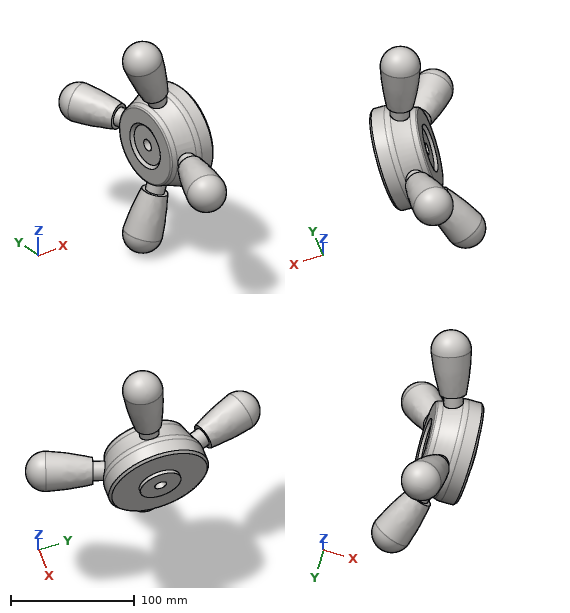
import cadquery as cq
import math


rim_diameter = 86.0
rim_chamfer = 2.0
rim_length = 13.0
shoulder_radius = 11.0
shoulder_angle = 26.0
nose_start = 32.8
waist_end_radius = 35.9
hub_length = 38.0
nose_round = 1.5
bore_diameter = 10.0
spigot_diameter = 35.0
spigot_length = 3.0

recess_floor_diameter = 35.0
recess_mouth_diameter = 40.0
recess_depth = 2.5

handle_count = 4
handle_tilt = 19.0
knob_radius = 16.5
knob_tip_reach = 100.0
knob_center_x = -40.4
grip_length = 38.2
grip_end_radius = 11.0
grip_bulge = 0.8
neck_diameter = 16.0


def make_hub():
    rim_radius = rim_diameter / 2
    shoulder_slope = math.radians(shoulder_angle)

    def shoulder_point(angle):
        x = -rim_length - shoulder_radius * math.sin(angle)
        return (x, rim_radius - shoulder_radius * (1 - math.cos(angle)))

    shoulder_end = shoulder_point(shoulder_slope)
    waist_drop = shoulder_end[1] - waist_end_radius
    waist_chord_slope = math.atan2(waist_drop, nose_start + shoulder_end[0])
    nose_slope = 2 * waist_chord_slope - shoulder_slope
    nose_radius = waist_end_radius - (hub_length - nose_start) * math.tan(nose_slope)

    hub = (
        cq.Workplane("XY")
        .lineTo(0, rim_radius - rim_chamfer)
        .lineTo(-rim_chamfer, rim_radius)
        .lineTo(-rim_length, rim_radius)
        .threePointArc(shoulder_point(shoulder_slope / 2), shoulder_end)
        .tangentArcPoint((-nose_start, waist_end_radius), relative=False)
        .lineTo(-hub_length, nose_radius)
        .lineTo(-hub_length, 0)
        .close()
        .revolve(360, (0, 0, 0), (1, 0, 0))
        .faces("<X").edges().fillet(nose_round)
    )
    spigot = cq.Workplane("YZ").circle(spigot_diameter / 2).extrude(spigot_length)
    return hub.union(spigot)


def make_handle():
    tilt = math.radians(handle_tilt)
    knob_center_radius = knob_tip_reach - knob_radius
    knob_height = knob_center_radius / math.cos(tilt)
    pivot_x = knob_center_x + knob_center_radius * math.tan(tilt)
    grip_end = knob_height - grip_length
    knob_diagonal = knob_radius * math.sqrt(0.5)
    grip_middle = ((knob_radius + grip_end_radius) / 2 + grip_bulge, knob_height - grip_length / 2)

    grip = (
        cq.Workplane("XZ")
        .moveTo(0, grip_end)
        .lineTo(grip_end_radius, grip_end)
        .threePointArc(grip_middle, (knob_radius, knob_height))
        .threePointArc((knob_diagonal, knob_height + knob_diagonal), (0, knob_height + knob_radius))
        .close()
        .revolve(360, (0, 0, 0), (0, 1, 0))
    )
    neck = cq.Workplane("XY").circle(neck_diameter / 2).extrude(grip_end)
    handle = grip.union(neck)
    return handle.rotate((0, 0, 0), (0, 1, 0), -handle_tilt).translate((pivot_x, 0, 0))


def make_recess():
    return (
        cq.Workplane("YZ", origin=(-hub_length, 0, 0))
        .circle(recess_mouth_diameter / 2)
        .workplane(offset=recess_depth)
        .circle(recess_floor_diameter / 2)
        .loft(ruled=True)
    )


def make_bore():
    return (
        cq.Workplane("YZ", origin=(-hub_length, 0, 0))
        .circle(bore_diameter / 2)
        .extrude(hub_length + spigot_length)
    )


body = make_hub()
handle = make_handle()
for index in range(handle_count):
    body = body.union(handle.rotate((0, 0, 0), (1, 0, 0), index * 360 / handle_count))

result = body.cut(make_recess()).cut(make_bore())